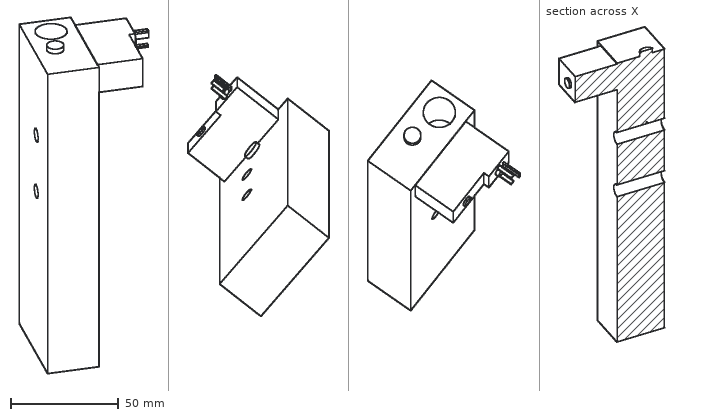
import cadquery as cq

body_width = 50.0
body_depth = 25.0
body_height = 160.0

port_diameter = 15.0
port_x = 10.7
port_y = body_depth / 2
port_depth = 30.0
pin_diameter = 8.0
pin_x = 28.1
pin_y = 9.8
pin_height = 162.5 - body_height

mount_diameter = 6.5
mount_x = 30.0
mount_spacing = 30.0
upper_mount_z = body_height - 43.2

block_left = 6.8
block_right = 46.5
block_step_x = 22.5
block_low_depth = 22.1
block_high_depth = 25.0
block_height = 15.0
block_top_gap = 0.5
block_top = body_height - block_top_gap
block_mid_z = block_top - block_height / 2
block_low_y = body_depth + block_low_depth
block_high_y = body_depth + block_high_depth

button_diameter = 5.0
low_button_x = 36.2
low_button_height = 1.0
high_button_x = 15.0
high_button_height = 2.0
screw_diameter = 8.6
screw_x = body_width / 2
screw_z = body_height - 20.8
screw_height = 2.0

blade_thickness = 1.0
ground_blade_x = 11.2
ground_blade_width = 3.7
ground_blade_tip_y = 59.6
contact_width = 2.0
contact_offset_z = 3.9
contact_tip_y = ground_blade_tip_y - 1.5


def rear_stud(x, z, diameter, start_y, height):
    """Cylinder rising backwards from a face at start_y."""
    axis = cq.Vector(0, 1, 0)
    return cq.Workplane(cq.Solid.makeCylinder(diameter / 2, height, cq.Vector(x, start_y, z), axis))


def blade(x, z, size_x, size_z, tip_y):
    """Rectangular contact standing on the high part of the connector block."""
    length = tip_y - block_high_y
    blank = cq.Workplane("XY").box(size_x, length, size_z, centered=(True, False, True))
    return blank.translate((x, block_high_y, z))


def connector_block():
    """Block with a step on its back face."""
    return (
        cq.Workplane("XY", origin=(0, 0, block_top - block_height))
        .moveTo(block_left, body_depth)
        .lineTo(block_right, body_depth)
        .lineTo(block_right, block_low_y)
        .lineTo(block_step_x, block_low_y)
        .lineTo(block_step_x, block_high_y)
        .lineTo(block_left, block_high_y)
        .close()
        .extrude(block_height)
    )


result = cq.Workplane("XY").box(body_width, body_depth, body_height, centered=False)
top_plane = cq.Workplane("XY", origin=(0, 0, body_height))
result = result.cut(top_plane.center(port_x, port_y).circle(port_diameter / 2).extrude(-port_depth))
result = result.union(top_plane.center(pin_x, pin_y).circle(pin_diameter / 2).extrude(pin_height))
for mount_z in (upper_mount_z, upper_mount_z - mount_spacing):
    result = result.cut(rear_stud(mount_x, mount_z, mount_diameter, 0, body_depth))

result = result.union(connector_block())
result = result.union(rear_stud(low_button_x, block_mid_z, button_diameter, block_low_y, low_button_height))
result = result.union(rear_stud(high_button_x, block_mid_z, button_diameter, block_high_y, high_button_height))
result = result.union(rear_stud(screw_x, screw_z, screw_diameter, body_depth, screw_height))

result = result.union(
    blade(ground_blade_x, block_mid_z, blade_thickness, ground_blade_width, ground_blade_tip_y)
)
for side in (-1, 1):
    contact_z = block_mid_z + side * contact_offset_z
    result = result.union(blade(high_button_x, contact_z, contact_width, blade_thickness, contact_tip_y))